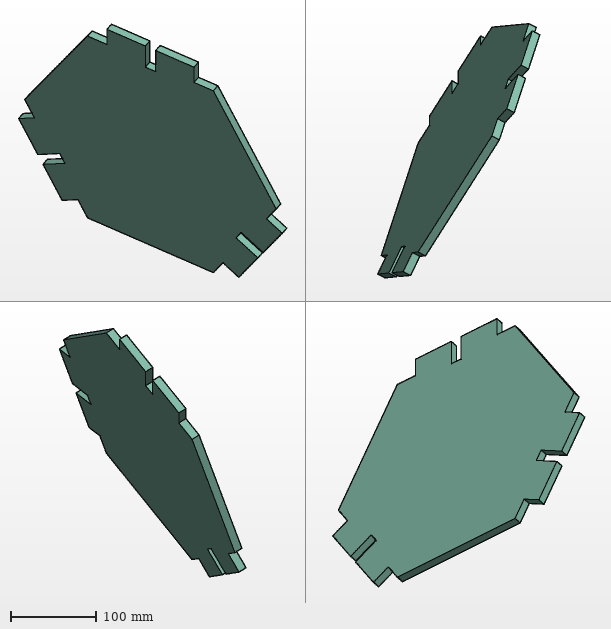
import cadquery as cq
import math

overall_width = 363.0
thickness = 10.0
apothem = 150.0
tab_height = 25.0
slot_width = 14.0
slot_depth = 35.0
tab_angles = (0, 120, 240)

hexagon_diameter = 2 * apothem / math.cos(math.radians(30))
tip_distance = apothem + tab_height
tip_centre_x = tip_distance * math.cos(math.radians(30))
tab_width = 2 * (overall_width / 2 - tip_centre_x) / math.sin(math.radians(30))


def radial_block(width, inner, outer, angle):
    """Full-thickness block between two distances from the centre."""
    block = cq.Workplane("XY").box(width, thickness, outer - inner)
    block = block.translate((0, 0, (inner + outer) / 2))
    return block.rotate((0, 0, 0), (0, 1, 0), angle)


result = cq.Workplane("XZ").polygon(6, hexagon_diameter).extrude(thickness / 2, both=True)

for angle in tab_angles:
    result = result.union(radial_block(tab_width, 0, tip_distance, angle))
    result = result.cut(radial_block(slot_width, tip_distance - slot_depth, tip_distance, angle))